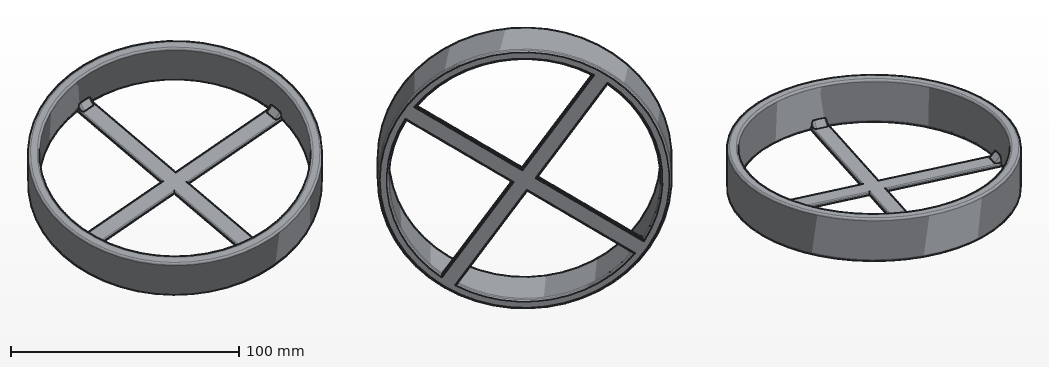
import cadquery as cq
import math

outer_diameter = 129.0
bore_diameter = 119.0
ring_height = 22.0
rim_radius = 1.0
rim_turn = math.radians(45)

spoke_width = 8.0
spoke_thickness = 2.0
spoke_edge = 0.5

gusset_width = 7.0
gusset_reach = 3.0
gusset_height = 3.0
gusset_fillet = 1.0

outer_radius = outer_diameter / 2
bore_radius = bore_diameter / 2
embedded_radius = (outer_radius + bore_radius) / 2


def make_ring():
    """Ring with rounded rims; the lower rim turns through 45 degrees and runs straight to the floor."""
    arc_height = rim_radius * math.sin(rim_turn)
    arc_inset = rim_radius - arc_height
    lower_rim = 2 * arc_height
    half_turn = rim_turn / 2
    mid_rise = lower_rim - rim_radius * math.sin(half_turn)
    mid_inset = rim_radius * (1 - math.cos(half_turn))
    profile = (
        cq.Workplane("XZ")
        .moveTo(bore_radius + rim_radius, 0)
        .lineTo(outer_radius - rim_radius, 0)
        .lineTo(outer_radius - arc_inset, arc_height)
        .threePointArc((outer_radius - mid_inset, mid_rise), (outer_radius, lower_rim))
        .lineTo(outer_radius, ring_height)
        .lineTo(bore_radius, ring_height)
        .lineTo(bore_radius, lower_rim)
        .threePointArc((bore_radius + mid_inset, mid_rise), (bore_radius + arc_inset, arc_height))
        .close()
    )
    ring = profile.revolve(360, (0, 0, 0), (0, 1, 0))
    return ring.faces(">Z").edges().fillet(rim_radius)


def make_cross():
    """Crossed spokes, rounded along the top edges and chamfered underneath."""
    length = 2 * embedded_radius
    along_x = cq.Workplane("XY").rect(length, spoke_width).extrude(spoke_thickness)
    along_y = cq.Workplane("XY").rect(spoke_width, length).extrude(spoke_thickness)
    cross = along_x.union(along_y)
    cross = cross.faces(">Z").edges().fillet(spoke_edge)
    return cross.faces("<Z").edges().chamfer(spoke_edge)


def make_gusset():
    """Gusset at the +X end, sloping up from the spoke to the bore."""
    toe = bore_radius - gusset_reach
    base = spoke_thickness / 2
    top = spoke_thickness + gusset_height
    gusset = (
        cq.Workplane("XZ")
        .moveTo(toe, spoke_thickness)
        .lineTo(bore_radius, top)
        .lineTo(embedded_radius, top)
        .lineTo(embedded_radius, base)
        .lineTo(toe, base)
        .close()
        .extrude(gusset_width / 2, both=True)
    )
    return gusset.edges("#Y and (not |X) and (not |Z)").fillet(gusset_fillet)


result = make_ring().union(make_cross())
for quarter in range(4):
    result = result.union(make_gusset().rotate((0, 0, 0), (0, 0, 1), 90 * quarter))